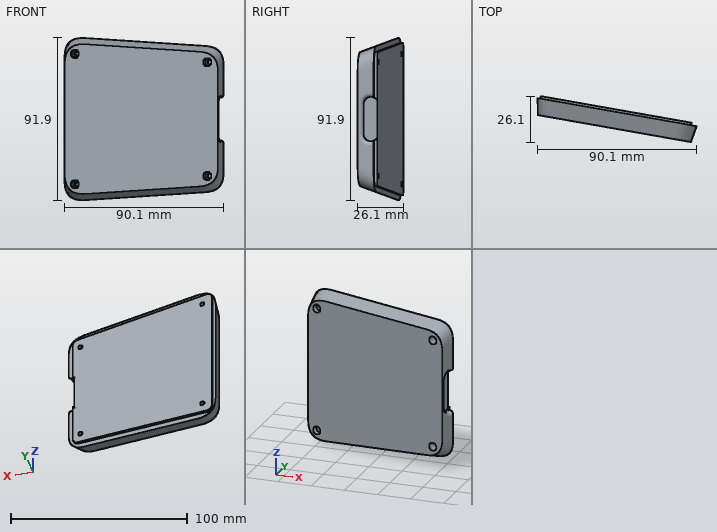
import cadquery as cq
import math

tilt = 10.0

front_length = 87.9
front_half_height = 43.1
edge_slope_angle = 3.7
edge_slope = math.tan(math.radians(edge_slope_angle))
corner_size = 11.4
corner_handle = 0.69
body_depth = 9.5
left_flare = 1.9
right_flare = 1.65
top_draft = 20.0
top_flare = body_depth * math.tan(math.radians(top_draft))

lip_height = 1.5
lip_left_inset = 1.65
lip_right_inset = 3.2
lip_top_inset = 3.2
lip_corner_size = 3.6

screw_diameter = 2.6
head_diameter = 4.7
left_screw_x = 5.7
left_screw_z = 36.8
left_head_depth = 3.8
right_screw_x = 81.7
right_screw_z = 32.2
right_head_depth = 7.3

notch_radius = 4.3
notch_center_y = 7.35
notch_center_half_spacing = 8.3
notch_mouth_fillet = 2.0
notch_floor_depth = 4.1

total_depth = body_depth + lip_height
back_left = -left_flare
back_right = front_length + right_flare
lip_right = back_right - lip_right_inset
notch_floor_x = back_right - notch_floor_depth


def between(start, end, fraction):
    """Point at the given fraction of the way from start to end."""
    return start + (end - start) * fraction


def trapezoid(depth, left, right, top_offset, corner_size):
    """Wire of a soft-cornered trapezoid at a depth behind the front face.

    Its top and bottom edges lie top_offset outside those of the front face. Each corner starts
    where an arc of radius corner_size would, but bulges further out.
    """
    left_half = front_half_height + top_offset - edge_slope * left
    right_half = front_half_height + top_offset - edge_slope * right
    corners = [
        cq.Vector(left, depth, -left_half),
        cq.Vector(right, depth, -right_half),
        cq.Vector(right, depth, right_half),
        cq.Vector(left, depth, left_half),
    ]
    curves = []
    for index, corner in enumerate(corners):
        to_previous = (corners[index - 1] - corner).normalized()
        to_next = (corners[(index + 1) % len(corners)] - corner).normalized()
        reach = corner_size / math.tan(to_previous.getAngle(to_next) / 2)
        start = corner + to_previous * reach
        end = corner + to_next * reach
        start_handle = between(start, corner, corner_handle)
        end_handle = between(end, corner, corner_handle)
        curves.append(cq.Edge.makeBezier([start, start_handle, end_handle, end]))
    edges = []
    for index, curve in enumerate(curves):
        edges.append(cq.Edge.makeLine(curves[index - 1].endPoint(), curve.startPoint()))
        edges.append(curve)
    return cq.Wire.assembleEdges(edges)


def make_body():
    front = trapezoid(0, 0, front_length, 0, corner_size)
    back = trapezoid(body_depth, back_left, back_right, top_flare, corner_size)
    return cq.Workplane(cq.Solid.makeLoft([front, back], True))


def make_lip():
    lip_left = back_left + lip_left_inset
    lip_top_offset = top_flare - lip_top_inset
    outline = trapezoid(body_depth, lip_left, lip_right, lip_top_offset, lip_corner_size)
    return cq.Workplane(cq.Solid.extrudeLinear(outline, [], cq.Vector(0, lip_height, 0)))


def cut_notch(body):
    """Cut the notch from the right side and round its mouth."""
    mouth_reach = notch_center_half_spacing + notch_radius
    cutter = (
        cq.Workplane("YZ", origin=(notch_floor_x, notch_center_y, 0))
        .slot2D(2 * mouth_reach, 2 * notch_radius, 90)
        .extrude(2 * notch_floor_depth)
    )
    box_front = (notch_center_y - notch_radius) / 2
    mouth_box = cq.selectors.BoxSelector(
        (front_length, box_front, -mouth_reach),
        (2 * back_right, notch_center_y, mouth_reach),
    )
    notched = body.cut(cutter)
    return notched.edges(mouth_box).fillet(notch_mouth_fillet)


def screw_hole(x, z, head_depth):
    """Stepped cutter: head recess, 90 degree countersink and through hole."""
    head_radius = head_diameter / 2
    screw_radius = screw_diameter / 2
    sink_end = head_depth + head_radius - screw_radius
    profile = [
        (0, 0),
        (head_radius, 0),
        (head_radius, head_depth),
        (screw_radius, sink_end),
        (screw_radius, total_depth),
        (0, total_depth),
    ]
    cutter = cq.Workplane("XY").polyline(profile).close().revolve(360, (0, 0), (0, 1))
    return cutter.translate((x, 0, z))


plate = cut_notch(make_body().union(make_lip()))
for side in (1, -1):
    plate = plate.cut(screw_hole(left_screw_x, side * left_screw_z, left_head_depth))
    plate = plate.cut(screw_hole(right_screw_x, side * right_screw_z, right_head_depth))

result = plate.rotate((0, 0, 0), (0, 0, 1), -tilt)